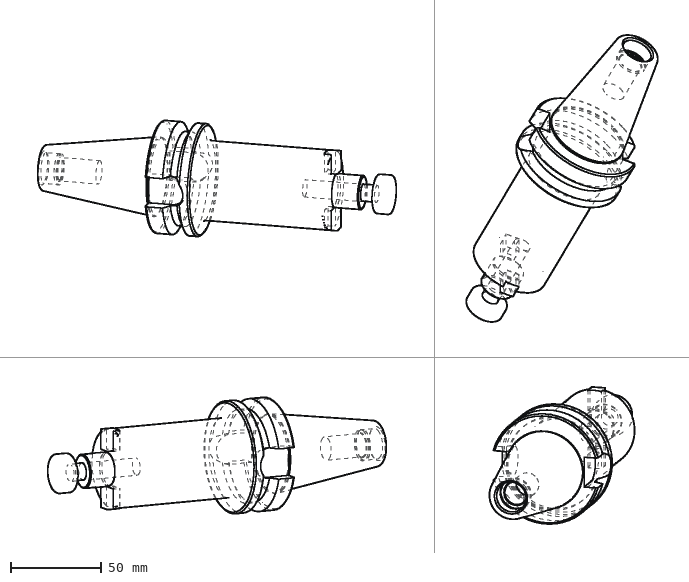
import cadquery as cq
import math

total_length = 200.5

taper_length = 65.3
gauge_diameter = 44.5
taper_ratio = 7 / 24
nose_fillet = 2.0
relief_depth = 0.5

flange_start = 66.7
flange_end = 92.4
flange_diameter = 63.0
flange_front_chamfer = 1.0
flange_back_chamfer = 1.0
groove_diameter = 52.5
groove_centre = 81.8
groove_floor_width = 3.8
groove_flank_angle = 30

slot_width = 17.0
slot_tip = 88.8
slot_floor_offset = 22.5

body_diameter = 44.5
body_end = 166.7
body_edge_fillet = 0.8
neck_fillet = 2.9
pilot_diameter = 19.0
pilot_end = 183.8
pilot_edge_chamfer = 0.6
undercut_diameter = 18.6
undercut_width = 1.6

bore_mouth_diameter = 19.0
bore_diameter = 17.0
bore_groove_start = 8.6
bore_groove_diameter = 17.5
bore_end = 9.8
thread_mouth_diameter = 13.8
thread_diameter = 13.0
thread_depth = 32.0

key_width = 8.0
key_start = 162.5
key_end = 170.3
key_inner_radius = 10.6
key_edge_fillet = 0.5

head_diameter = 22.0
head_start = 191.5
head_fillet = 1.5
shank_diameter = 9.6
shank_start = 150.3


def revolve_x(points):
    """Solid of revolution about X from (x, radius) points; the axis closes the outline."""
    outline = [(points[0][0], 0), *points, (points[-1][0], 0)]
    return cq.Workplane("XY").polyline(outline).close().revolve(360, (0, 0, 0), (1, 0, 0))


def cylinder_x(start, end, diameter):
    return cq.Workplane("YZ", origin=(start, 0, 0)).circle(diameter / 2).extrude(end - start)


def ring_at(x, radius):
    """Selector for the circular edges at x that are no larger than the given radius."""
    margin = 0.2
    reach = radius + margin
    return cq.selectors.BoxSelector((x - margin, -reach, -reach), (x + margin, reach, reach), boundingbox=True)


def make_outer_shape():
    """Taper, flange, body and pilot as one turned solid."""
    gauge_radius = gauge_diameter / 2
    nose_radius = gauge_radius - taper_length * taper_ratio / 2
    flange_radius = flange_diameter / 2
    groove_radius = groove_diameter / 2
    body_radius = body_diameter / 2
    pilot_radius = pilot_diameter / 2
    undercut_radius = undercut_diameter / 2
    half_floor = groove_floor_width / 2
    half_mouth = half_floor + (flange_radius - groove_radius) * math.tan(math.radians(groove_flank_angle))
    outer = revolve_x([
        (0, nose_radius),
        (taper_length, gauge_radius),
        (taper_length + relief_depth, gauge_radius - relief_depth),
        (flange_start, gauge_radius - relief_depth),
        (flange_start, flange_radius - flange_front_chamfer),
        (flange_start + flange_front_chamfer, flange_radius),
        (groove_centre - half_mouth, flange_radius),
        (groove_centre - half_floor, groove_radius),
        (groove_centre + half_floor, groove_radius),
        (groove_centre + half_mouth, flange_radius),
        (flange_end - flange_back_chamfer, flange_radius),
        (flange_end, flange_radius - flange_back_chamfer),
        (flange_end, body_radius),
        (body_end, body_radius),
        (body_end, undercut_radius),
        (body_end + undercut_width, undercut_radius),
        (body_end + undercut_width, pilot_radius),
        (pilot_end - pilot_edge_chamfer, pilot_radius),
        (pilot_end, pilot_radius - pilot_edge_chamfer),
    ])
    outer = outer.faces("<X").edges().fillet(nose_fillet)
    outer = outer.edges(ring_at(flange_end, body_radius)).fillet(neck_fillet)
    return outer.edges(ring_at(body_end, body_radius)).fillet(body_edge_fillet)


def make_bore():
    """Stepped blind bore with a countersunk mouth."""
    countersink_depth = (thread_mouth_diameter - thread_diameter) / 2
    mouth_depth = (bore_mouth_diameter - bore_diameter) / 2
    return revolve_x([
        (0, bore_mouth_diameter / 2),
        (mouth_depth, bore_diameter / 2),
        (bore_groove_start, bore_diameter / 2),
        (bore_groove_start, bore_groove_diameter / 2),
        (bore_end, bore_groove_diameter / 2),
        (bore_end, thread_mouth_diameter / 2),
        (bore_end + countersink_depth, thread_diameter / 2),
        (thread_depth, thread_diameter / 2),
    ])


def make_drive_slot(side):
    """Round-ended slot cutter on the +Y (side = 1) or -Y (side = -1) of the flange."""
    arc_centre = slot_tip - slot_width / 2
    cut_depth = flange_diameter / 2 - slot_floor_offset
    half_width = slot_width / 2
    return (
        cq.Workplane("XZ", origin=(0, side * slot_floor_offset, 0))
        .moveTo(flange_start, -half_width)
        .lineTo(arc_centre, -half_width)
        .threePointArc((slot_tip, 0), (arc_centre, half_width))
        .lineTo(flange_start, half_width)
        .close()
        .extrude(-side * cut_depth)
    )


def make_key_block(side):
    """Sharp-edged key at the top (side = 1) or bottom (side = -1) of the body's end face."""
    length = key_end - key_start
    height = body_diameter / 2 - key_inner_radius
    block = cq.Workplane("XY").box(length, key_width, height, centered=(False, True, False))
    block = block.translate((key_start, 0, key_inner_radius))
    if side < 0:
        block = block.rotate((0, 0, 0), (1, 0, 0), 180)
    return block


def make_screw():
    """Clamping screw: plain shank with a rounded cylindrical head."""
    head = cylinder_x(head_start, total_length, head_diameter).edges().fillet(head_fillet)
    return head.union(cylinder_x(shank_start, head_start, shank_diameter))


sides = (1, -1)
seats = [make_key_block(side) for side in sides]
keys = [seat.edges().fillet(key_edge_fillet) for seat in seats]
screw = make_screw()

holder = make_outer_shape().cut(make_bore())
for side in sides:
    holder = holder.cut(make_drive_slot(side))
for seat in seats:
    holder = holder.cut(seat)
holder = holder.cut(cylinder_x(shank_start, pilot_end, shank_diameter))

result = cq.Compound.makeCompound([holder.val(), *[key.val() for key in keys], screw.val()])